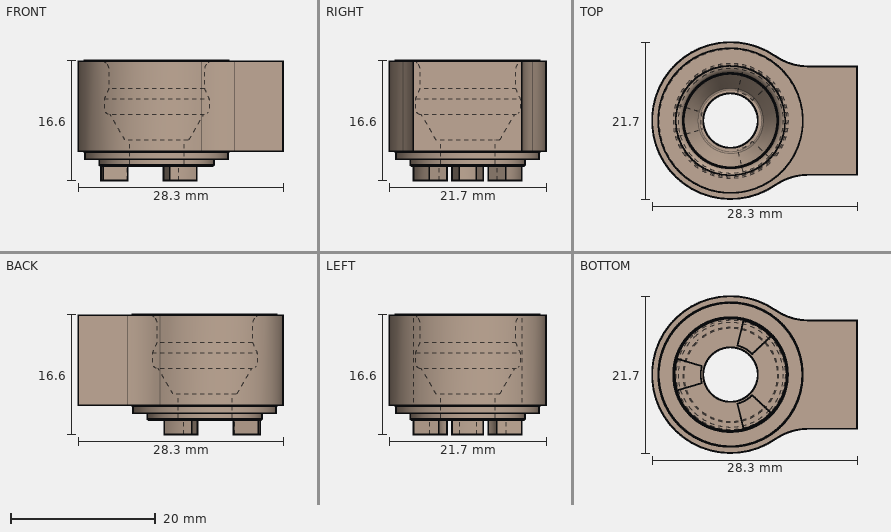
import cadquery as cq
import math

BODY_DIAMETER = 21.7
BODY_HEIGHT = 12.45
ARM_REACH = 17.48
ARM_WIDTH = 15.0
NECK_RADIUS = 8.0

LIP_DIAMETER = 20.0
LIP_HEIGHT = 0.1
LOWER_LIP_HEIGHT = 0.15
FLANGE_DIAMETER = 19.8
FLANGE_HEIGHT = 0.95
SPIGOT_DIAMETER = 15.9
SPIGOT_HEIGHT = 0.95
SPIGOT_CHAMFER = 0.2

LUG_COUNT = 3
LUG_HEIGHT = 2.0
LUG_OUTER_DIAMETER = 15.4
LUG_INNER_DIAMETER = 8.25
LUG_ANGLE = 33.0
FIRST_LUG_DIRECTION = 180.0
LUG_PITCH = 360 / LUG_COUNT

MOUTH_DIAMETER = 15.1
THROAT_DIAMETER = 13.19
MOUTH_ROUND_DEPTH = 1.31
THROAT_DEPTH = 3.82
CHAMBER_DIAMETER = 14.5
CHAMBER_TOP_DEPTH = 5.26
CHAMBER_BOTTOM_DEPTH = 6.63
CHAMBER_FILLET = 0.8
CONE_END_DIAMETER = 9.0
CONE_SLOPE = 60.0
SEAT_FILLET = 0.25
OUTLET_DIAMETER = 7.5

TOP_Z = BODY_HEIGHT + LIP_HEIGHT
FLANGE_TOP_Z = -LOWER_LIP_HEIGHT
SPIGOT_TOP_Z = FLANGE_TOP_Z - FLANGE_HEIGHT
LUG_TOP_Z = SPIGOT_TOP_Z - SPIGOT_HEIGHT
BOTTOM_Z = LUG_TOP_Z - LUG_HEIGHT


def make_housing():
    """Round body blended into the arm by two concave arcs tangent to both."""
    body_radius = BODY_DIAMETER / 2
    half_arm = ARM_WIDTH / 2
    center_y = half_arm + NECK_RADIUS
    center_distance = body_radius + NECK_RADIUS
    center_x = math.sqrt(center_distance**2 - center_y**2)
    body_share = body_radius / center_distance
    body_x = center_x * body_share
    body_y = center_y * body_share
    bend = (math.atan2(center_y, center_x) + math.pi / 2) / 2
    mid_x = center_x - NECK_RADIUS * math.cos(bend)
    mid_y = center_y - NECK_RADIUS * math.sin(bend)
    return (
        cq.Workplane("XY")
        .moveTo(ARM_REACH, -half_arm)
        .lineTo(ARM_REACH, half_arm)
        .lineTo(center_x, half_arm)
        .threePointArc((mid_x, mid_y), (body_x, body_y))
        .threePointArc((-body_radius, 0), (body_x, -body_y))
        .threePointArc((mid_x, -mid_y), (center_x, -half_arm))
        .close()
        .extrude(BODY_HEIGHT)
    )


def make_disc(diameter, bottom_z, top_z):
    """Cylinder on the Z axis between two levels."""
    return cq.Workplane("XY").workplane(offset=bottom_z).circle(diameter / 2).extrude(top_z - bottom_z)


def make_sleeve():
    """Lip disc running through the housing, with flange and chamfered spigot below."""
    lip = make_disc(LIP_DIAMETER, FLANGE_TOP_Z, TOP_Z)
    flange = make_disc(FLANGE_DIAMETER, SPIGOT_TOP_Z, FLANGE_TOP_Z)
    spigot = make_disc(SPIGOT_DIAMETER, LUG_TOP_Z, SPIGOT_TOP_Z).faces("<Z").chamfer(SPIGOT_CHAMFER)
    return lip.union(flange).union(spigot)


def polar(diameter, degrees):
    """XY point on a circle about the bore axis."""
    angle = math.radians(degrees)
    return (diameter / 2 * math.cos(angle), diameter / 2 * math.sin(angle))


def make_lug(direction):
    """Ring sector with radial sides, centred on the given direction."""
    start = direction - LUG_ANGLE / 2
    end = direction + LUG_ANGLE / 2
    return (
        cq.Workplane("XY")
        .workplane(offset=BOTTOM_Z)
        .moveTo(*polar(LUG_INNER_DIAMETER, start))
        .lineTo(*polar(LUG_OUTER_DIAMETER, start))
        .threePointArc(polar(LUG_OUTER_DIAMETER, direction), polar(LUG_OUTER_DIAMETER, end))
        .lineTo(*polar(LUG_INNER_DIAMETER, end))
        .threePointArc(polar(LUG_INNER_DIAMETER, direction), polar(LUG_INNER_DIAMETER, start))
        .close()
        .extrude(LUG_HEIGHT)
    )


def make_bore():
    """Revolved cutter: rounded mouth, throat, wider chamber, cone, seat and outlet."""
    mouth_radius = MOUTH_DIAMETER / 2
    throat_radius = THROAT_DIAMETER / 2
    chamber_radius = CHAMBER_DIAMETER / 2
    mouth_flare = mouth_radius - throat_radius
    round_radius = (mouth_flare**2 + MOUTH_ROUND_DEPTH**2) / (2 * mouth_flare)
    half_sweep = math.asin(MOUTH_ROUND_DEPTH / round_radius) / 2
    round_mid = (
        throat_radius + round_radius * (1 - math.cos(half_sweep)),
        TOP_Z - MOUTH_ROUND_DEPTH + round_radius * math.sin(half_sweep),
    )
    fillet_reach = CHAMBER_FILLET * math.sin(math.pi / 4)
    fillet_center_z = TOP_Z - CHAMBER_BOTTOM_DEPTH
    fillet_center_radius = chamber_radius - CHAMBER_FILLET
    fillet_mid = (fillet_center_radius + fillet_reach, fillet_center_z - fillet_reach)
    slope = math.radians(CONE_SLOPE)
    cone_end_radius = CONE_END_DIAMETER / 2
    cone_top_z = fillet_center_z - CHAMBER_FILLET
    cone_end_z = cone_top_z - (fillet_center_radius - cone_end_radius) * math.tan(slope)
    seat_radius = cone_end_radius - SEAT_FILLET * math.sin(slope)
    seat_center_z = cone_end_z + SEAT_FILLET * math.cos(slope)
    seat_z = seat_center_z - SEAT_FILLET
    seat_mid = (
        seat_radius + SEAT_FILLET * math.sin(slope / 2),
        seat_center_z - SEAT_FILLET * math.cos(slope / 2),
    )
    profile = (
        cq.Workplane("XZ")
        .moveTo(0, TOP_Z)
        .lineTo(mouth_radius, TOP_Z)
        .threePointArc(round_mid, (throat_radius, TOP_Z - MOUTH_ROUND_DEPTH))
        .lineTo(throat_radius, TOP_Z - THROAT_DEPTH)
        .lineTo(chamber_radius, TOP_Z - CHAMBER_TOP_DEPTH)
        .lineTo(chamber_radius, fillet_center_z)
        .threePointArc(fillet_mid, (fillet_center_radius, fillet_center_z - CHAMBER_FILLET))
        .lineTo(cone_end_radius, cone_end_z)
        .threePointArc(seat_mid, (seat_radius, seat_z))
        .lineTo(OUTLET_DIAMETER / 2, seat_z)
        .lineTo(OUTLET_DIAMETER / 2, LUG_TOP_Z)
        .lineTo(0, LUG_TOP_Z)
        .close()
    )
    return profile.revolve(360, (0, 0, 0), (0, 1, 0))


part = make_housing().union(make_sleeve())
for lug_index in range(LUG_COUNT):
    lug_direction = FIRST_LUG_DIRECTION + lug_index * LUG_PITCH
    part = part.union(make_lug(lug_direction))

result = part.cut(make_bore())